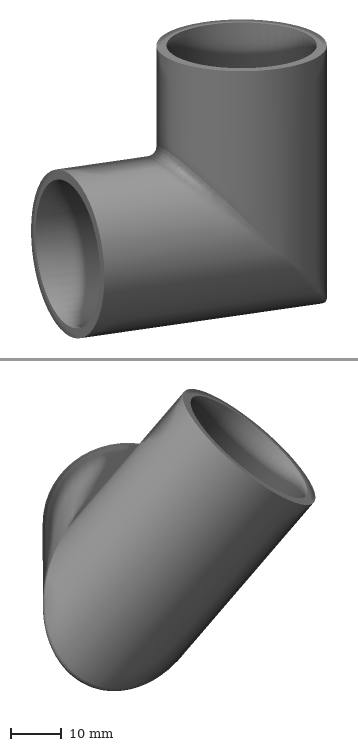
import cadquery as cq

outer_diameter = 33.7
bore_diameter = 29.7
overall_length = 54.85
throat_fillet = 2.0
heel_fillet = 1.0

outer_radius = outer_diameter / 2
bore_radius = bore_diameter / 2
leg_length = overall_length - outer_radius

throat_side = -1
heel_side = 1


def mitred_elbow(section, radius):
    """Solid elbow of two legs with the given section, joined on the 45 degree plane z = -y."""
    above_mitre = (
        cq.Workplane("YZ")
        .polyline([(-radius, radius), (-radius, leg_length), (radius, leg_length), (radius, -radius)])
        .close()
        .extrude(radius, both=True)
    )
    upright = section.extrude(leg_length + radius).intersect(above_mitre)
    level = upright.rotate((0, 0, 0), (0, -1, 1), 180)
    return upright.union(level)


def round_elbow(radius):
    """Elbow with full round legs."""
    section = cq.Workplane("XY", origin=(0, 0, -radius)).circle(radius)
    return mitred_elbow(section, radius)


def half_elbow(radius, side):
    """Throat or heel half of the round elbow, with half-round legs."""
    section = (
        cq.Workplane("XY", origin=(0, 0, -radius))
        .moveTo(-radius, 0)
        .threePointArc((0, side * radius), (radius, 0))
        .close()
    )
    return mitred_elbow(section, radius)


def rounded_half(side, fillet_radius):
    """Outer half elbow with its curved mitre edge rounded."""
    return half_elbow(outer_radius, side).edges("%ELLIPSE").fillet(fillet_radius)


rounded_throat = rounded_half(throat_side, throat_fillet)
heel_shaving = half_elbow(outer_radius, heel_side).cut(rounded_half(heel_side, heel_fillet))

outside = round_elbow(outer_radius).union(rounded_throat).cut(heel_shaving)
result = outside.cut(round_elbow(bore_radius))